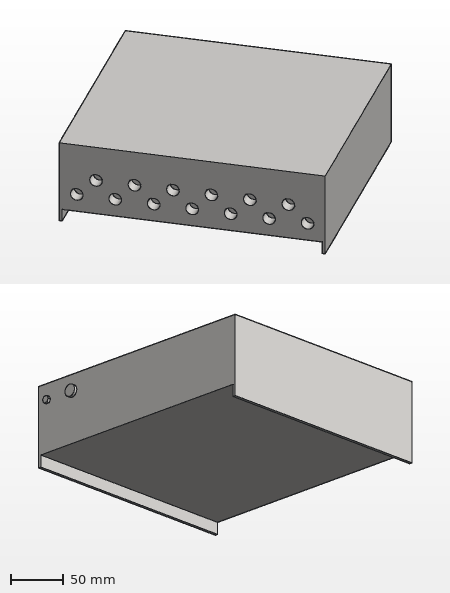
import cadquery as cq

width = 263.6
overall_depth = 244.5
height = 83.8
rear_projection = 3.2
body_depth = overall_depth - rear_projection

skirt_thickness = 3.2
skirt_height = 12.5

hole_diameter = 12.5
hole_depth = 13.2
lower_row_height = 30.5
row_spacing = 17.7
lower_row_span = 228.5
lower_row_count = 7
upper_row_count = lower_row_count - 1
hole_pitch = lower_row_span / (lower_row_count - 1)

button_diameter = 12.7
button_x = 218.5
fitting_height = height - 17.5
stud_diameter = 8.0
stud_x = 251.3
stud_sides = 6


def make_body():
    recess_width = width - 2 * skirt_thickness
    body = cq.Workplane("XY").box(width, body_depth, height, centered=False)
    recess = (
        cq.Workplane("XY")
        .box(recess_width, body_depth, skirt_height, centered=False)
        .translate((skirt_thickness, 0, 0))
    )
    return body.cut(recess)


def make_hole_row(count, row_height):
    first_x = width / 2 - (count - 1) * hole_pitch / 2
    centres = [(first_x + i * hole_pitch, row_height) for i in range(count)]
    return cq.Workplane("XZ").pushPoints(centres).circle(hole_diameter / 2).extrude(-hole_depth)


def back_face_at(x):
    return cq.Workplane("XZ", origin=(x, body_depth, fitting_height))


button = back_face_at(button_x).circle(button_diameter / 2).extrude(-rear_projection)
stud = back_face_at(stud_x).polygon(stud_sides, stud_diameter).extrude(-rear_projection)

result = (
    make_body()
    .cut(make_hole_row(lower_row_count, lower_row_height))
    .cut(make_hole_row(upper_row_count, lower_row_height + row_spacing))
    .union(button)
    .union(stud)
)